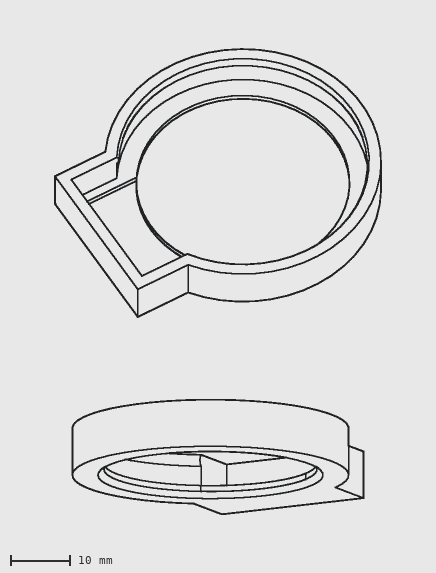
import cadquery as cq

height = 8.0
wall = 2.0
outer_radius = 23.15
box_width = 27.1
box_reach = 28.59

floor_thickness = 2.0
opening_radius = outer_radius - wall
bead_radius = 20.83
bead_height = 2.0
hole_radius = 35.7 / 2
hole_flare = 1.0
rim_thickness = 0.05

recess_width = 20.0
recess_reach = 25.4
recess_floor = 1.0


def front_block(width, reach, bottom, top):
    """Block running from the ring axis toward -Y."""
    return (
        cq.Workplane("XY")
        .workplane(offset=bottom)
        .center(0, -reach / 2)
        .rect(width, reach)
        .extrude(top - bottom)
    )


def outer_body():
    ring = cq.Workplane("XY").circle(outer_radius).extrude(height)
    return ring.union(front_block(box_width, box_reach, 0, height))


def ring_cavity():
    """Round cavity with a rounded retaining bead bulging inward just under the mouth."""
    bead_bottom = height - bead_height
    bead_middle = height - bead_height / 2
    profile = (
        cq.Workplane("XZ")
        .moveTo(0, floor_thickness)
        .lineTo(opening_radius, floor_thickness)
        .lineTo(opening_radius, bead_bottom)
        .threePointArc((bead_radius, bead_middle), (opening_radius, height))
        .lineTo(0, height)
        .close()
    )
    return profile.revolve(360, (0, 0, 0), (0, 1, 0))


def box_cavity():
    return front_block(box_width - 2 * wall, box_reach - wall, floor_thickness, height)


def floor_recess():
    """Recess that stops short of the hole, leaving a thin curved rim."""
    rim = cq.Workplane("XY").circle(hole_radius + rim_thickness).extrude(height)
    return front_block(recess_width, recess_reach, recess_floor, floor_thickness).cut(rim)


def through_hole():
    """Straight hole that flares out at the underside of the floor."""
    flare_radius = hole_radius + hole_flare
    profile = [
        (0, 0),
        (flare_radius, 0),
        (hole_radius, hole_flare),
        (hole_radius, height),
        (0, height),
    ]
    return cq.Workplane("XZ").polyline(profile).close().revolve(360, (0, 0, 0), (0, 1, 0))


result = (
    outer_body()
    .cut(ring_cavity())
    .cut(box_cavity())
    .cut(floor_recess())
    .cut(through_hole())
)